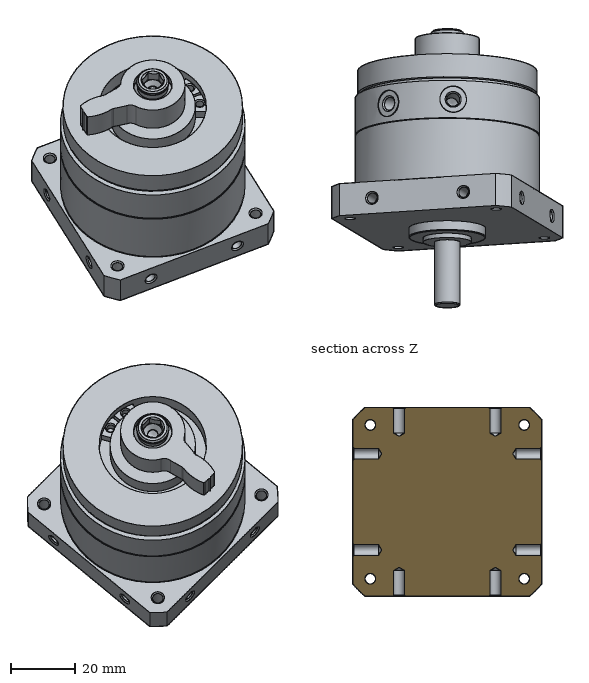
import cadquery as cq
import math

TOP_Z = 62.7
BOTTOM_Z = TOP_Z - 87.3
FLANGE_TOP = 10.2
SEAM_Z = 29.25
BODY_TOP = 41.3
CAP_BOTTOM = 42.6
CAP_TOP = 49.9
LEVER_BOTTOM = 51.25
LEVER_TOP = 60.2
BOSS_BOTTOM = -3.05
COLLAR_BOTTOM = -4.45

FLANGE_SIDE = 59.0
FLANGE_CORNER_DIAMETER = 78.2
TAP_DIAMETER = 3.2
TAP_MOUTH_DIAMETER = 4.1
CORNER_HOLE_OFFSET = 24.0
SIDE_HOLE_OFFSET = 15.0
SIDE_HOLE_Z = 5.0
SIDE_HOLE_DEPTH = 8.0

BODY_DIAMETER = 57.6
CAP_DIAMETER = 56.05
NECK_DIAMETER = 54.65
CAP_UNDERSIDE_RISE = 0.3
SEAM_WIDTH = 0.2
SEAM_DEPTH = 0.3

PORT_ANGLE = 22.0
PORT_Z = 35.4
PORT_FACE_DIAMETER = 8.3
PORT_FACE_DISTANCE = 28.3
PORT_DIAMETER = 4.1
PORT_MOUTH_DIAMETER = 5.0
PORT_DEPTH = 8.0

SLOT_OUTER_DIAMETER = 33.4
SLOT_INNER_DIAMETER = 26.6
SLOT_DEPTH = 5.85
STOP_RECESS = 2.8
STOP_GAP = 0.8
STOP_END_ANGLE = 26.0
STOP_HOLE_ANGLE = 13.5
STOP_HOLE_DIAMETER = 2.45
STOP_HOLE_MOUTH_DIAMETER = 3.2

BOSS_DIAMETER = 24.0
BOSS_CHAMFER = 0.3
COLLAR_DIAMETER = 15.0
SHAFT_DIAMETER = 8.0
SHAFT_CHAMFER = 0.35
HUB_DIAMETER = 12.0
HUB_CONE_BASE = 58.0
SHAFT_NECK_DIAMETER = 9.6
LIP_DIAMETER = 10.0
LIP_BOTTOM = 61.3
LIP_CHAMFER = 0.5
HEX_FLATS = 6.0
HEX_DEPTH = 3.5
HEX_MOUTH_DIAMETER = 7.25
PILOT_DIAMETER = 3.2
PILOT_DEPTH = 1.75

KEY_WIDTH = 2.0
KEY_TOP_Z = -7.1
KEY_BOTTOM_Z = -23.2
KEY_REACH = 5.0

LEVER_HUB_RADIUS = 10.0
SHOULDER_X = 5.4
ROOT_X = 3.8
ROOT_Y = -10.9
FILLET_BULGE_X = 4.3
FILLET_BULGE_Y = -9.5
WAIST_X = 3.05
WAIST_TOP_Y = -15.1
WAIST_BOTTOM_Y = -15.6
BELLY_X = 3.4
BELLY_Y = -19.6
CORNER_X = 2.5
CORNER_Y = -23.8
TIP_X = 2.1
TIP_Y = -24.0
POINTER_X = 0.35
POINTER_Y = -24.45

TIP_CONE_ANGLE = 118.0


def disc(diameter, bottom, top):
    return cq.Workplane("XY").workplane(offset=bottom).circle(diameter / 2).extrude(top - bottom)


def blind_hole(position, direction, diameter, mouth_diameter, depth):
    """Drill shape with a 45 degree mouth and a conical tip, starting at position."""
    radius = diameter / 2
    mouth_radius = mouth_diameter / 2
    tip = radius / math.tan(math.radians(TIP_CONE_ANGLE / 2))
    profile = (
        cq.Workplane("XZ")
        .moveTo(0, 0)
        .lineTo(mouth_radius, 0)
        .lineTo(radius, radius - mouth_radius)
        .lineTo(radius, -depth)
        .lineTo(0, -depth - tip)
        .close()
    )
    drill = profile.revolve(360, (0, 0, 0), (0, 1, 0)).val()
    inward = cq.Vector(*direction)
    across = cq.Vector(0, 0, 1) if abs(inward.z) < 0.5 else cq.Vector(1, 0, 0)
    plane = cq.Plane(origin=position, xDir=across.toTuple(), normal=(-inward).toTuple())
    return cq.Workplane(obj=drill.moved(cq.Location(plane)))


def through_hole(x, y, bottom, top, diameter, mouth_diameter):
    """Drill shape through from bottom to top with a 45 degree mouth at the top."""
    mouth_depth = (mouth_diameter - diameter) / 2
    mouth = cq.Workplane(
        obj=cq.Solid.makeCone(diameter / 2, mouth_diameter / 2, mouth_depth).moved(
            cq.Location(cq.Vector(0, 0, top - mouth_depth))
        )
    )
    return disc(diameter, bottom, top).union(mouth).translate((x, y, 0))


def make_flange():
    flange = cq.Workplane("XY").rect(FLANGE_SIDE, FLANGE_SIDE).extrude(FLANGE_TOP)
    flange = flange.intersect(disc(FLANGE_CORNER_DIAMETER, 0, FLANGE_TOP))
    for x in (-CORNER_HOLE_OFFSET, CORNER_HOLE_OFFSET):
        for y in (-CORNER_HOLE_OFFSET, CORNER_HOLE_OFFSET):
            flange = flange.cut(through_hole(x, y, 0, FLANGE_TOP, TAP_DIAMETER, TAP_MOUTH_DIAMETER))
    half_side = FLANGE_SIDE / 2
    for side in (-1, 1):
        for offset in (-SIDE_HOLE_OFFSET, SIDE_HOLE_OFFSET):
            for position, direction in (
                ((offset, side * half_side, SIDE_HOLE_Z), (0, -side, 0)),
                ((side * half_side, offset, SIDE_HOLE_Z), (-side, 0, 0)),
            ):
                flange = flange.cut(
                    blind_hole(position, direction, TAP_DIAMETER, TAP_MOUTH_DIAMETER, SIDE_HOLE_DEPTH)
                )
    return flange


def make_drum():
    """Round body and cap, with thin seams, a neck under the cap and the annular slot."""
    body_radius = BODY_DIAMETER / 2
    cap_radius = CAP_DIAMETER / 2
    neck_radius = NECK_DIAMETER / 2
    drum = (
        cq.Workplane("XZ")
        .moveTo(0, FLANGE_TOP)
        .lineTo(body_radius, FLANGE_TOP)
        .lineTo(body_radius, BODY_TOP)
        .lineTo(neck_radius, BODY_TOP)
        .lineTo(neck_radius, CAP_BOTTOM - CAP_UNDERSIDE_RISE)
        .lineTo(cap_radius, CAP_BOTTOM)
        .lineTo(cap_radius, CAP_TOP)
        .lineTo(0, CAP_TOP)
        .close()
        .revolve(360, (0, 0, 0), (0, 1, 0))
    )
    for bottom in (FLANGE_TOP, SEAM_Z):
        seam = disc(BODY_DIAMETER, bottom, bottom + SEAM_WIDTH)
        seam = seam.cut(disc(BODY_DIAMETER - 2 * SEAM_DEPTH, bottom, bottom + SEAM_WIDTH))
        drum = drum.cut(seam)
    return drum.cut(slot_ring(CAP_TOP - SLOT_DEPTH, CAP_TOP))


def slot_ring(bottom, top):
    return disc(SLOT_OUTER_DIAMETER, bottom, top).cut(disc(SLOT_INNER_DIAMETER, bottom, top))


def port_cutter(side):
    """Spot face and tapped hole, square to the round wall, on one side of the +Y direction."""
    angle = math.radians(PORT_ANGLE)
    outward = cq.Vector(side * math.sin(angle), math.cos(angle), 0)
    position = outward * PORT_FACE_DISTANCE + cq.Vector(0, 0, PORT_Z)
    face_plane = cq.Plane(origin=position.toTuple(), xDir=(0, 0, 1), normal=outward.toTuple())
    spot_face = cq.Workplane(face_plane).circle(PORT_FACE_DIAMETER / 2).extrude(BODY_DIAMETER / 2)
    hole = blind_hole(
        position.toTuple(), (-outward).toTuple(), PORT_DIAMETER, PORT_MOUTH_DIAMETER, PORT_DEPTH
    )
    return spot_face.union(hole)


def make_lower_shaft():
    boss = disc(BOSS_DIAMETER, BOSS_BOTTOM, 0).faces("<Z").chamfer(BOSS_CHAMFER)
    collar = disc(COLLAR_DIAMETER, COLLAR_BOTTOM, BOSS_BOTTOM)
    shaft = disc(SHAFT_DIAMETER, BOTTOM_Z, COLLAR_BOTTOM).faces("<Z").chamfer(SHAFT_CHAMFER)
    key = (
        cq.Workplane("XZ")
        .center(0, (KEY_TOP_Z + KEY_BOTTOM_Z) / 2)
        .slot2D(KEY_TOP_Z - KEY_BOTTOM_Z, KEY_WIDTH, 90)
        .extrude(KEY_REACH)
    )
    return boss.union(collar).union(shaft).union(key)


def make_upper_shaft():
    hub_radius = HUB_DIAMETER / 2
    neck_radius = SHAFT_NECK_DIAMETER / 2
    lip_radius = LIP_DIAMETER / 2
    shaft = (
        cq.Workplane("XZ")
        .moveTo(0, CAP_TOP)
        .lineTo(hub_radius, CAP_TOP)
        .lineTo(hub_radius, HUB_CONE_BASE)
        .lineTo(neck_radius, HUB_CONE_BASE + hub_radius - neck_radius)
        .lineTo(neck_radius, LIP_BOTTOM)
        .lineTo(lip_radius, LIP_BOTTOM)
        .lineTo(lip_radius, TOP_Z - LIP_CHAMFER)
        .lineTo(lip_radius - LIP_CHAMFER, TOP_Z)
        .lineTo(0, TOP_Z)
        .close()
        .revolve(360, (0, 0, 0), (0, 1, 0))
    )
    return shaft.cut(hex_socket())


def hex_socket():
    """Hexagon socket with a conical mouth, ending in a cone and a pilot hole."""
    hex_corners = HEX_FLATS / math.cos(math.pi / 6)
    hex_bottom = TOP_Z - HEX_DEPTH
    hexagon = cq.Workplane("XY").workplane(offset=hex_bottom).polygon(6, hex_corners).extrude(HEX_DEPTH)
    mouth_radius = HEX_MOUTH_DIAMETER / 2
    mouth = cq.Solid.makeCone(mouth_radius, 0, mouth_radius, (0, 0, TOP_Z), (0, 0, -1))
    pilot = blind_hole((0, 0, hex_bottom), (0, 0, -1), PILOT_DIAMETER, HEX_FLATS, PILOT_DEPTH)
    return hexagon.union(cq.Workplane(obj=mouth)).union(pilot)


def make_housing():
    """Flange, round body, cap and shaft ends."""
    housing = make_flange().union(make_drum()).union(make_lower_shaft()).union(make_upper_shaft())
    for side in (-1, 1):
        housing = housing.cut(port_cutter(side))
    return housing


def make_stop(side):
    """Ring segment standing in the annular slot, on one side of the +Y direction."""
    bottom = CAP_TOP - SLOT_DEPTH
    top = CAP_TOP - STOP_RECESS
    reach = SLOT_OUTER_DIAMETER
    gap_x = side * STOP_GAP / 2
    end_slope = math.tan(math.radians(STOP_END_ANGLE))
    wedge = (
        cq.Workplane("XY")
        .workplane(offset=bottom)
        .moveTo(gap_x, abs(gap_x) / end_slope)
        .lineTo(gap_x, reach)
        .lineTo(side * reach * end_slope, reach)
        .close()
        .extrude(top - bottom)
    )
    hole_radius = (SLOT_OUTER_DIAMETER + SLOT_INNER_DIAMETER) / 4
    hole_angle = math.radians(STOP_HOLE_ANGLE)
    hole = through_hole(
        side * hole_radius * math.sin(hole_angle),
        hole_radius * math.cos(hole_angle),
        bottom,
        top,
        STOP_HOLE_DIAMETER,
        STOP_HOLE_MOUTH_DIAMETER,
    )
    return slot_ring(bottom, top).intersect(wedge).cut(hole)


def make_lever():
    """Round hub on the shaft with a waisted arm toward -Y and a small pointer at its tip."""
    shoulder_y = -math.sqrt(LEVER_HUB_RADIUS**2 - SHOULDER_X**2)
    outline = (
        cq.Workplane("XY")
        .workplane(offset=LEVER_BOTTOM)
        .moveTo(SHOULDER_X, shoulder_y)
        .threePointArc((0, LEVER_HUB_RADIUS), (-SHOULDER_X, shoulder_y))
        .threePointArc((-FILLET_BULGE_X, FILLET_BULGE_Y), (-ROOT_X, ROOT_Y))
        .lineTo(-WAIST_X, WAIST_TOP_Y)
        .lineTo(-WAIST_X, WAIST_BOTTOM_Y)
        .threePointArc((-BELLY_X, BELLY_Y), (-CORNER_X, CORNER_Y))
        .lineTo(-TIP_X, TIP_Y)
        .lineTo(-POINTER_X, TIP_Y)
        .lineTo(0, POINTER_Y)
        .lineTo(POINTER_X, TIP_Y)
        .lineTo(TIP_X, TIP_Y)
        .lineTo(CORNER_X, CORNER_Y)
        .threePointArc((BELLY_X, BELLY_Y), (WAIST_X, WAIST_BOTTOM_Y))
        .lineTo(WAIST_X, WAIST_TOP_Y)
        .lineTo(ROOT_X, ROOT_Y)
        .threePointArc((FILLET_BULGE_X, FILLET_BULGE_Y), (SHOULDER_X, shoulder_y))
        .close()
    )
    lever = outline.extrude(LEVER_TOP - LEVER_BOTTOM)
    return lever.cut(disc(HUB_DIAMETER, LEVER_BOTTOM, LEVER_TOP))


housing = make_housing()
lever = make_lever()
stops = [make_stop(side) for side in (-1, 1)]

result = cq.Compound.makeCompound([housing.val(), lever.val(), *[stop.val() for stop in stops]])